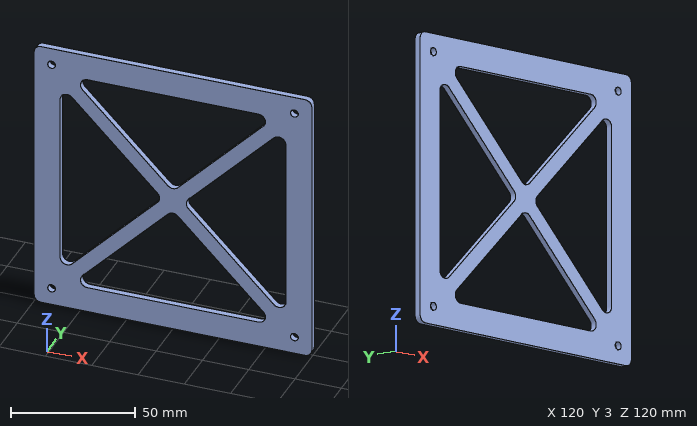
import cadquery as cq
import math

side = 120.0
thickness = 3.0
corner_radius = 3.0

opening_side = 97.5
strut_width = 6.5
window_radius = 3.0

hole_spacing = 104.9
hole_diameter = 3.2


def plate():
    """Rounded square plate centred on the origin."""
    body = cq.Workplane("XZ").rect(side, side).extrude(thickness / 2, both=True)
    return body.edges("|Y").fillet(corner_radius)


def upper_window():
    """Rounded right-angled triangle above the cross, pointing at the centre."""
    half_opening = opening_side / 2
    apex = strut_width / math.sqrt(2)
    half_base = half_opening - apex
    outline = [(0, apex), (half_base, half_opening), (-half_base, half_opening)]
    window = cq.Workplane("XZ").polyline(outline).close().extrude(thickness, both=True)
    return window.edges("|Y").fillet(window_radius)


def mounting_holes():
    """Four cylinders on a square pattern, long enough to pass through the plate."""
    pattern = cq.Workplane("XZ").rect(hole_spacing, hole_spacing, forConstruction=True)
    return pattern.vertices().circle(hole_diameter / 2).extrude(thickness, both=True)


result = plate().cut(mounting_holes())
for angle in (0, 90, 180, 270):
    result = result.cut(upper_window().rotate((0, 0, 0), (0, 1, 0), angle))